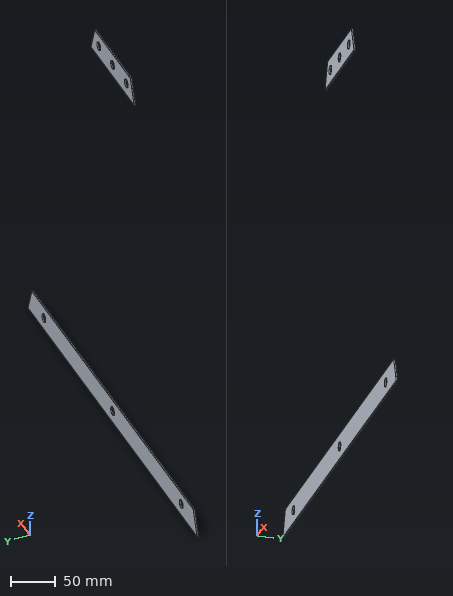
import cadquery as cq

thickness = 2.0
strip_height = 30.5
end_inset = 11.5
hole_diameter = 10.0
hole_height = 15.5

long_length = 492.5
long_hole_spacing = 199.5

short_length = 126.5
short_hole_spacing = 40.0

overall_height = 497.5
short_strip_base = overall_height - strip_height


def trapezoid_strip(length, hole_spacing, base_height):
    """Flat strip with slanted ends and three through holes, centered on X and Y."""
    bottom_half = length / 2
    top_half = bottom_half - end_inset
    plate = (
        cq.Workplane("XZ")
        .polyline([
            (-bottom_half, 0),
            (bottom_half, 0),
            (top_half, strip_height),
            (-top_half, strip_height),
        ])
        .close()
        .extrude(thickness / 2, both=True)
    )
    hole_centers = [(side * hole_spacing, hole_height) for side in (-1, 0, 1)]
    holes = (
        cq.Workplane("XZ")
        .pushPoints(hole_centers)
        .circle(hole_diameter / 2)
        .extrude(thickness, both=True)
    )
    return plate.cut(holes).translate((0, 0, base_height))


long_strip = trapezoid_strip(long_length, long_hole_spacing, 0)
short_strip = trapezoid_strip(short_length, short_hole_spacing, short_strip_base)

result = cq.Compound.makeCompound([long_strip.val(), short_strip.val()])